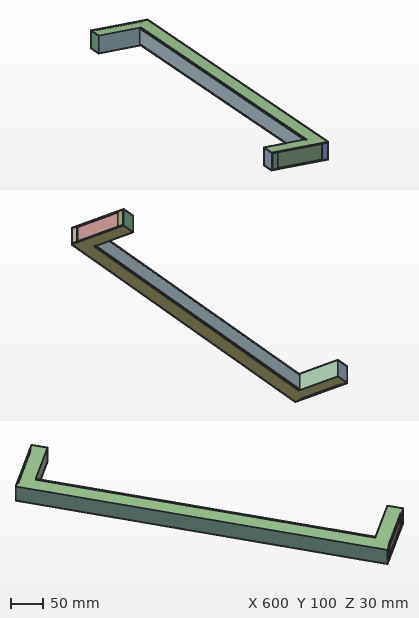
import cadquery as cq
import math

length = 600.0
depth = 100.0
height = 30.0
leg_width = 26.5
bar_width = 25.0
rim = 1.5
recess_end_margin = 11.0
recess_depth = 2.5
bevel_rise = 0.5
strip_seat = 1.0
strip_proud = 2.0
strip_depth = strip_seat + strip_proud

inner_length = length - 2 * leg_width
inset_height = height - 2 * rim
bevel_taper = math.degrees(math.atan2(rim, bevel_rise))
core_length = length - 2 * bevel_rise
bar_front = depth / 2 - bar_width


def make_strip():
    """Flat strip along the inner face of the bar, from leg to leg."""
    return cq.Workplane("XY").box(inner_length, strip_depth, inset_height).translate(
        (0, bar_front - strip_proud + strip_depth / 2, 0)
    )


def make_side_cap(side):
    """Thin cap with bevelled edges that forms the outer face of one leg."""
    plane = cq.Plane(origin=(side * core_length / 2, 0, 0), xDir=(0, 1, 0), normal=(side, 0, 0))
    return cq.Workplane(plane).rect(depth, height).extrude(bevel_rise, taper=bevel_taper)


def make_side_recess(side):
    """Shallow rectangular pocket in the outer face of one leg, as high as its flat part."""
    recess_length = depth - 2 * recess_end_margin
    return cq.Workplane("XY").box(recess_depth, recess_length, inset_height).translate(
        (side * (length - recess_depth) / 2, 0, 0)
    )


def make_handle():
    """U-shaped handle with a bevelled, pocketed face on each side and a seat for the strip."""
    body = cq.Workplane("XY").box(core_length, depth, height)
    opening = cq.Workplane("XY").box(inner_length, depth - bar_width, height).translate(
        (0, -bar_width / 2, 0)
    )
    body = body.cut(opening)
    for side in (-1, 1):
        body = body.union(make_side_cap(side))
        body = body.cut(make_side_recess(side))
    return body.cut(make_strip())


handle = make_handle()
strip = make_strip()

result = cq.Compound.makeCompound([handle.val(), strip.val()])